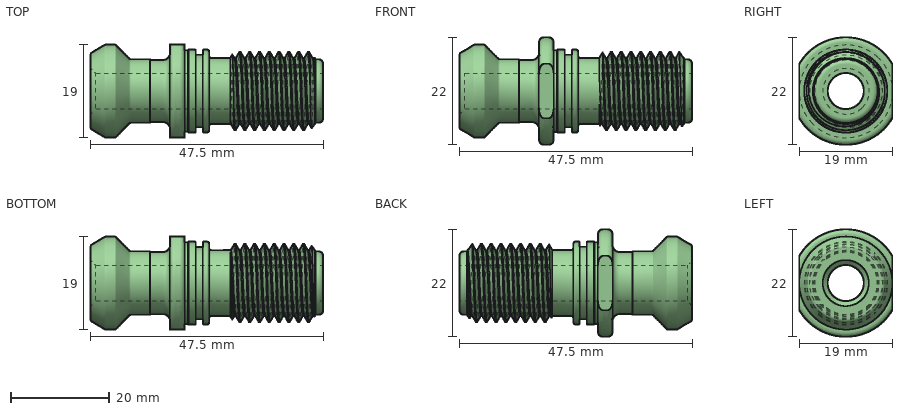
import cadquery as cq
import math

length = 47.5
head_flat_start = 3.05
head_flat_end = 5.15
neck_start = 8.08
neck_step = 12.1
flange_start = 16.25
flange_end = 19.25
seat_start = 20.1
groove_start = 21.5
groove_end = 22.95
collar_end = 24.25
thread_start = 28.5
thread_end = 45.95

flange_diameter = 22.0
flats_width = 19.0

head_radius = 9.5
head_face_radius = 7.7
neck_radius = 6.5
relief_radius = 6.35
flange_radius = flange_diameter / 2
pilot_radius = 8.35
seat_radius = 8.5
groove_radius = 7.4
tip_radius = 6.5
bore_radius = 3.65
bore_mouth_radius = 4.7

neck_taper = 0.15
seat_taper = 0.25

head_face_round = 0.7
head_front_rim_round = 0.55
head_back_rim_round = 0.35
head_root_round = 0.35
neck_round = 1.42
flange_round = 1.0
seat_round = 0.3
collar_round = 0.55
collar_root_round = 0.4
tip_round = 1.0

pitch = 2.0
crest_radius = 8.0
root_radius = 6.75
flank_angle = 60
crest_width = pitch / 8
flank_slope = math.tan(math.radians(flank_angle / 2))
thread_lead_in = 0.75
thread_lead_out = 1.1
crest_below_axis = 30.0
extra_turns = 2
ridge_turns = 11
ridge_sink = 0.05
envelope_margin = 0.48


def disc(start, end, radius):
    return cq.Workplane("YZ").workplane(offset=start).circle(radius).extrude(end - start)


def turned(points):
    """Revolve an (axial, radial) outline about the X axis."""
    return cq.Workplane("XY").polyline(points).close().revolve(360, (0, 0, 0), (1, 0, 0))


def root_fillet(wall, radius, size, side):
    """Concave ring where a cylinder meets a wall; side is -1 or +1 along X."""
    corner_x = wall + side * size
    middle = size * (1 - math.sqrt(0.5))
    return (
        cq.Workplane("XY")
        .moveTo(wall, 0)
        .lineTo(wall, radius + size)
        .threePointArc((wall + side * middle, radius + middle), (corner_x, radius))
        .lineTo(corner_x, 0)
        .close()
        .revolve(360, (0, 0, 0), (1, 0, 0))
    )


def ring_at(station):
    """Selector for the circular edges lying at one station on the axis."""
    reach = 0.05
    return cq.selectors.BoxSelector((station - reach, -reach, -reach), (station + reach, reach, reach))


def make_head_and_neck():
    body = turned([
        (0, 0),
        (0, head_face_radius),
        (head_flat_start, head_radius),
        (head_flat_end, head_radius),
        (neck_start, neck_radius),
        (neck_step, neck_radius),
        (neck_step + neck_taper, relief_radius),
        (flange_start, relief_radius),
        (flange_start, 0),
    ])
    rounds = [
        (0, head_face_round),
        (head_flat_start, head_front_rim_round),
        (head_flat_end, head_back_rim_round),
        (neck_start, head_root_round),
    ]
    for station, size in rounds:
        body = body.edges("%CIRCLE").edges(ring_at(station)).fillet(size)
    return body.union(root_fillet(flange_start, relief_radius, neck_round, -1))


def make_flange():
    flange = disc(flange_start, flange_end, flange_radius).edges().fillet(flange_round)
    across_flats = cq.Workplane("XY").box(2 * length, flats_width, 4 * flange_radius)
    return flange.intersect(across_flats)


def make_seat():
    pilot = turned([
        (flange_end, 0),
        (flange_end, pilot_radius),
        (seat_start - seat_taper, pilot_radius),
        (seat_start, seat_radius),
        (seat_start, 0),
    ])
    land = disc(seat_start, groove_start, seat_radius)
    land = land.faces(">X").edges().fillet(seat_round)
    groove = disc(groove_start, groove_end, groove_radius)
    collar = disc(groove_end, collar_end, seat_radius)
    collar = collar.faces("<X").edges().fillet(seat_round)
    collar = collar.faces(">X").edges().fillet(collar_round)
    root = root_fillet(collar_end, root_radius, collar_root_round, 1)
    return pilot.union(land).union(groove).union(collar).union(root)


def lead_in_at(radius):
    """Axial station where the cone opening the thread has the given radius."""
    return thread_start + thread_lead_in * (radius - root_radius) / (crest_radius - root_radius)


def lead_out_at(radius):
    """Axial station where the cone closing the thread has the given radius."""
    return thread_end - thread_lead_out * (radius - tip_radius) / (crest_radius - tip_radius)


def make_thread():
    base_radius = root_radius - ridge_sink
    half_crest = crest_width / 2
    half_base = half_crest + (crest_radius - base_radius) * flank_slope
    helix = cq.Wire.makeHelix(pitch, ridge_turns * pitch, base_radius)
    ridge = (
        cq.Workplane("XZ")
        .polyline([
            (base_radius, -half_base),
            (crest_radius, -half_crest),
            (crest_radius, half_crest),
            (base_radius, half_base),
        ])
        .close()
        .sweep(cq.Workplane(obj=helix), isFrenet=True)
        .rotate((0, 0, 0), (0, 1, 0), 90)
        .translate((crest_below_axis - extra_turns * pitch, 0, 0))
    )
    inner_radius = base_radius - envelope_margin
    outer_radius = crest_radius + envelope_margin
    envelope = turned([
        (lead_in_at(inner_radius), inner_radius),
        (lead_in_at(outer_radius), outer_radius),
        (lead_out_at(outer_radius), outer_radius),
        (lead_out_at(inner_radius), inner_radius),
    ])
    return ridge.intersect(envelope)


def make_shank():
    core_end = lead_out_at(root_radius - ridge_sink)
    core = turned([
        (collar_end, 0),
        (collar_end, root_radius),
        (core_end, root_radius),
        (thread_end, tip_radius),
        (thread_end, 0),
    ])
    tip = disc(thread_end, length, tip_radius).faces(">X").edges().fillet(tip_round)
    return core.union(make_thread()).union(tip)


def make_bore():
    mouth_depth = bore_mouth_radius - bore_radius
    return turned([
        (0, 0),
        (0, bore_mouth_radius),
        (mouth_depth, bore_radius),
        (length, bore_radius),
        (length, 0),
    ])


body = make_head_and_neck().union(make_flange()).union(make_seat())
body = body.union(make_shank())
result = body.cut(make_bore())